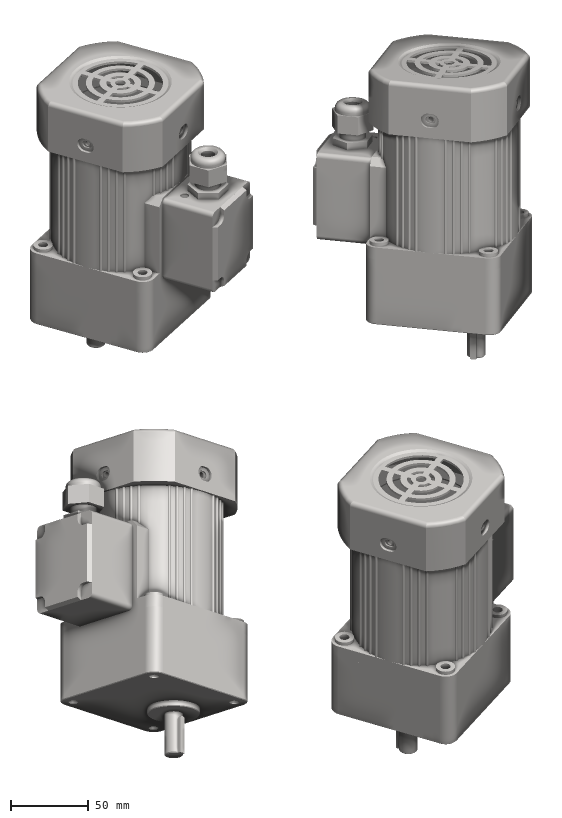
import cadquery as cq
import math


shaft_offset = -18.0
shaft_diameter = 12.0
shaft_tip_chamfer = 0.6
shaft_reach = 28.1
key_width = 4.0
key_length = 25.1
key_rise = 2.0
boss_diameter = 34.2
boss_height = 3.8
edge_chamfer = 0.5

frame_side = 90.0
frame_corner_radius = 8.0
gearbox_height = 45.0
flange_height = 8.0
bolt_circle_diameter = 104.0
bolt_hole_diameter = 6.5
bolt_pad_diameter = 12.5
bolt_pad_height = 2.5

body_radius = 45.0
rib_radius = 1.0
rib_group_count = 8
ribs_per_group = 4
rib_step_angle = 6.6

overall_height = 201.0
cover_side = 93.0
cover_corner_diameter = 108.1
cover_height = 36.4
cover_edge_radius = 3.0
dish_radius = 33.2
dish_slope_width = 2.0
dish_depth = 1.0
grille_thickness = 1.6
grille_rings = [(6.5, 9.0), (13.5, 18.5), (22.3, 27.5)]
grille_spoke_width = 4.2
grille_hub_hole_radius = 3.5
fan_chamber_side = 87.0
fan_chamber_corner_diameter = 99.7
fan_chamber_floor = 179.5
fan_recess_radius = 34.2
fan_recess_depth = 1.0
screw_height_in_cover = 12.0
screw_recess_length = 12.0
screw_recess_width = 9.6
screw_recess_depth = 2.0
screw_slot_length = 6.6
screw_slot_width = 4.8
screw_slot_depth = 1.0
screw_hole_diameter = 3.6
screw_hole_depth = 4.0

overall_length = 131.5
box_width = 49.8
box_bottom = 78.2
box_height = 59.7
box_edge_radius = 3.0
box_plug_diameter = 5.8
box_plug_depth = 1.0
box_plug_x = 54.9
box_plug_y = -13.3
block_inner_x = 24.1
block_width = 58.7
block_rise = 1.6
block_chamfer = 4.8
lid_thickness = 3.0
lid_edge_slope = 1.6
lid_notch_side = 10.0
lid_notch_radius = 4.8

gland_x = 64.7
gland_base_flats = 23.1
gland_base_height = 4.8
gland_neck_diameter = 17.3
gland_neck_height = 5.6
gland_nut_flats = 24.1
gland_nut_height = 12.5
gland_dome_diameter = 23.0
gland_dome_height = 5.8
gland_dome_edge_radius = 3.8
gland_bore_diameter = 9.2
gland_bore_depth = 8.0
gland_bore_chamfer = 1.8

gearbox_bottom = shaft_reach + boss_height
gearbox_top = gearbox_bottom + gearbox_height
flange_top = gearbox_top + flange_height
cover_bottom = overall_height - cover_height
bolt_spacing = bolt_circle_diameter / math.sqrt(2)
frame_half = frame_side / 2
lid_outer_x = overall_length - cover_side / 2
box_outer_x = lid_outer_x - lid_thickness
box_top = box_bottom + box_height


def frame_plate(bottom, height):
    """Rounded square plate centred on the motor axis."""
    plate = cq.Workplane("XY", origin=(0, 0, bottom)).rect(frame_side, frame_side).extrude(height)
    return plate.edges("|Z").fillet(frame_corner_radius)


def bolt_cylinders(diameter, bottom, height):
    """Four cylinders on the bolt circle."""
    centres = cq.Workplane("XY", origin=(0, 0, bottom)).rect(bolt_spacing, bolt_spacing, forConstruction=True)
    return centres.vertices().circle(diameter / 2).extrude(height)


def shaft_cylinder(diameter, bottom, top):
    """Cylinder on the offset output axis."""
    plane = cq.Workplane("XY", origin=(shaft_offset, 0, bottom))
    return plane.circle(diameter / 2).extrude(top - bottom)


def make_shaft_key():
    """Key along the +Y side of the shaft, flush with the tip and rounded at its inner end."""
    outer_y = shaft_diameter / 2 + key_rise
    half = key_width / 2
    shoulder = key_length - half
    outline = (
        cq.Workplane("XZ", origin=(shaft_offset, outer_y, 0))
        .moveTo(-half, 0)
        .lineTo(half, 0)
        .lineTo(half, shoulder)
        .threePointArc((0, key_length), (-half, shoulder))
        .close()
    )
    return outline.extrude(outer_y)


def make_gearbox():
    """Gear housing with its boss and the keyed output shaft."""
    housing = frame_plate(gearbox_bottom, gearbox_height).faces("<Z").edges().chamfer(edge_chamfer)
    boss = shaft_cylinder(boss_diameter, shaft_reach, gearbox_bottom).faces("<Z").edges().chamfer(edge_chamfer)
    shaft = shaft_cylinder(shaft_diameter, 0, shaft_reach).faces("<Z").edges().chamfer(shaft_tip_chamfer)
    gearbox = housing.union(boss).union(shaft).union(make_shaft_key())
    return gearbox.cut(bolt_cylinders(bolt_hole_diameter, gearbox_bottom, gearbox_height))


def add_cooling_ribs(body):
    """Half-round ribs, in groups that leave plain stretches on the axes and on the diagonals."""
    group_angle = 360 / rib_group_count
    for group in range(rib_group_count):
        group_middle = (group + 0.5) * group_angle
        for index in range(ribs_per_group):
            angle = group_middle + (index - (ribs_per_group - 1) / 2) * rib_step_angle
            rib = (
                cq.Workplane("XY", origin=(0, 0, flange_top))
                .center(body_radius, 0)
                .circle(rib_radius)
                .extrude(cover_bottom - flange_top)
                .rotate((0, 0, 0), (0, 0, 1), angle)
            )
            body = body.union(rib)
    return body


def make_box_mounting_block():
    """Block that joins the terminal box to the round motor body."""
    height = box_top + block_rise - flange_top
    length = frame_half - block_inner_x
    block = cq.Workplane("XY", origin=(block_inner_x, 0, flange_top)).box(
        length, block_width, height, centered=(False, True, False)
    )
    return block.faces(">Z").edges("|X").chamfer(block_chamfer)


def make_motor():
    """Flange, bolt pads, ribbed body and terminal box mounting block."""
    cylinder = cq.Workplane("XY", origin=(0, 0, flange_top)).circle(body_radius)
    body = add_cooling_ribs(cylinder.extrude(cover_bottom - flange_top))
    motor = body.union(make_box_mounting_block()).union(frame_plate(gearbox_top, flange_height))
    motor = motor.union(bolt_cylinders(bolt_pad_diameter, flange_top, bolt_pad_height))
    return motor.cut(bolt_cylinders(bolt_hole_diameter, gearbox_top, flange_height + bolt_pad_height))


def round_cornered_block(side, corner_diameter, bottom, height):
    """Square block whose corners follow a circle about the motor axis."""
    plane = cq.Workplane("XY", origin=(0, 0, bottom))
    square = plane.rect(side, side).extrude(height)
    return square.intersect(plane.circle(corner_diameter / 2).extrude(height))


def make_fan_chamber(top):
    """Space under the grille, with a shallow round recess in its floor."""
    chamber = round_cornered_block(
        fan_chamber_side, fan_chamber_corner_diameter, fan_chamber_floor, top - fan_chamber_floor
    )
    recess = cq.Workplane("XY", origin=(0, 0, fan_chamber_floor)).circle(fan_recess_radius)
    return chamber.union(recess.extrude(-fan_recess_depth))


def cut_grille(cover):
    """Dished top with ring slots, crossed by four spokes, opening into the fan chamber."""
    dish_floor = overall_height - dish_depth
    chamber_top = dish_floor - grille_thickness
    dish = (
        cq.Workplane("XY", origin=(0, 0, dish_floor))
        .circle(dish_radius - dish_slope_width)
        .workplane(offset=dish_depth)
        .circle(dish_radius)
        .loft()
    )
    plane = cq.Workplane("XY", origin=(0, 0, chamber_top))
    spokes = plane.rect(2 * dish_radius, grille_spoke_width).extrude(grille_thickness)
    spokes = spokes.union(plane.rect(grille_spoke_width, 2 * dish_radius).extrude(grille_thickness))
    cover = cover.cut(dish).cut(make_fan_chamber(chamber_top))
    for inner_radius, outer_radius in grille_rings:
        ring = plane.circle(outer_radius).circle(inner_radius).extrude(grille_thickness)
        cover = cover.cut(ring.cut(spokes))
    return cover.cut(plane.circle(grille_hub_hole_radius).extrude(grille_thickness))


def make_cover_screw_pocket():
    """Stepped pocket in the -Y face: wide slot, narrow slot, then a round hole."""
    slot_floor = screw_recess_depth + screw_slot_depth
    face = cq.Workplane("XZ", origin=(0, -cover_side / 2, cover_bottom + screw_height_in_cover))
    recess = face.slot2D(screw_recess_length, screw_recess_width).extrude(-screw_recess_depth)
    slot = face.slot2D(screw_slot_length, screw_slot_width).extrude(-slot_floor)
    hole = face.circle(screw_hole_diameter / 2).extrude(-slot_floor - screw_hole_depth)
    return recess.union(slot).union(hole)


def make_fan_cover():
    """Square cover with round corners, a top grille and a screw pocket in each side."""
    cover = round_cornered_block(cover_side, cover_corner_diameter, cover_bottom, cover_height)
    cover = cut_grille(cover.faces(">Z").edges().fillet(cover_edge_radius))
    pocket = make_cover_screw_pocket()
    for quarter_turn in range(4):
        cover = cover.cut(pocket.rotate((0, 0, 0), (0, 0, 1), 90 * quarter_turn))
    return cover


def box_outline(x):
    """Rounded cross-section at x, shared by the terminal box and its lid."""
    outline = cq.Sketch().rect(box_width, box_height).vertices().fillet(box_edge_radius)
    return cq.Workplane("YZ", origin=(x, 0, box_bottom + box_height / 2)).placeSketch(outline)


def make_terminal_box():
    """Box against the motor, with a round plug recess in its top."""
    box = box_outline(frame_half).extrude(box_outer_x - frame_half)
    plug = cq.Workplane("XY", origin=(box_plug_x, box_plug_y, box_top)).circle(box_plug_diameter / 2)
    return box.cut(plug.extrude(-box_plug_depth))


def make_lid():
    """Lid with sloping edges and a round-cornered notch at each corner."""
    edge_angle = math.degrees(math.atan(lid_edge_slope / lid_thickness))
    lid = box_outline(box_outer_x).extrude(lid_thickness, taper=edge_angle)
    notches = (
        cq.Workplane("YZ", origin=(box_outer_x, 0, box_bottom + box_height / 2))
        .rect(box_width, box_height, forConstruction=True)
        .vertices()
        .rect(2 * lid_notch_side, 2 * lid_notch_side)
        .extrude(lid_thickness)
        .edges("|X")
        .fillet(lid_notch_radius)
    )
    return lid.cut(notches)


def hexagon(flats, bottom, height, angle):
    """Hexagonal prism on the gland axis; angle 0 puts two corners along X."""
    plane = cq.Workplane("XY", origin=(gland_x, 0, bottom)).transformed(rotate=(0, 0, angle))
    return plane.polygon(6, flats / math.cos(math.pi / 6)).extrude(height)


def make_cable_gland():
    """Hexagonal base, neck, hexagonal nut and a domed end with a blind cable bore."""
    neck_bottom = box_top + gland_base_height
    nut_bottom = neck_bottom + gland_neck_height
    dome_bottom = nut_bottom + gland_nut_height
    dome_top = dome_bottom + gland_dome_height
    base = hexagon(gland_base_flats, box_top, gland_base_height, 90)
    neck = cq.Workplane("XY", origin=(gland_x, 0, neck_bottom)).circle(gland_neck_diameter / 2)
    nut = hexagon(gland_nut_flats, nut_bottom, gland_nut_height, 0)
    dome = cq.Workplane("XY", origin=(gland_x, 0, dome_bottom)).circle(gland_dome_diameter / 2)
    dome = dome.extrude(gland_dome_height).faces(">Z").edges().fillet(gland_dome_edge_radius)
    bore = cq.Workplane("XY", origin=(gland_x, 0, dome_top)).circle(gland_bore_diameter / 2)
    gland = base.union(neck.extrude(gland_neck_height)).union(nut).union(dome)
    gland = gland.cut(bore.extrude(-gland_bore_depth))
    bore_rim = cq.selectors.RadiusNthSelector(0)
    return gland.faces(">Z").edges(bore_rim).chamfer(gland_bore_chamfer)


gearbox = make_gearbox()
motor = make_motor()
fan_cover = make_fan_cover()
terminal_box = make_terminal_box()
lid = make_lid()
cable_gland = make_cable_gland()

result = cq.Compound.makeCompound([
    gearbox.val(),
    motor.val(),
    fan_cover.val(),
    terminal_box.val(),
    lid.val(),
    cable_gland.val(),
])